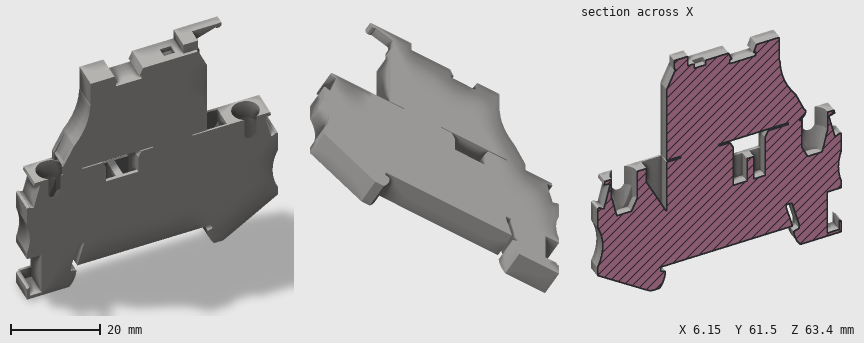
import cadquery as cq

thickness = 6.15
length = 61.5
height = 63.4

deck_z = 35.25
shoulder_z = 60.7
rail_z = 5.9
tower_back_y = 44.05
side_wall = 0.6

gap_height = 0.3
front_gap_y = (13.55, 30.85)
back_gap_start_y = 40.5

groove_z = 57.6
groove_front_y = 21.75
groove_back_y = 28.15
groove_lip_z = 58.6

toe_z = 3.9
toe_round = 0.7
toe_slot_y = 3.55
toe_slot_top_z = 12.5
toe_pocket_floor_z = 0.95
back_foot_sole = [(length, 9.1), (49.7, 1.1), (48.05, 0), (45.8, 0)]
back_foot_claw = [(44.3, 4.4), (45.45, 4.8), (45.45, rail_z)]
spring_slot = [
    (12.3, rail_z), (13.95, 11.9), (13.8, toe_slot_top_z),
    (12.55, toe_slot_top_z), (10.8, rail_z),
]
front_foot_claw = [(10.8, 4.8), (12.1, 4.4)]
front_foot_sole = (10.4, 0)
back_foot_bulge = (44.7, 2.0)
front_foot_bulge = (11.6, 2.0)

front_grip = [(0, 14.25), (0.75, 18.65), (0, 23.15)]
back_grip = [(length, 11.4), (length - 1.3, 17.2), (length, 22.9)]

tower_front_y = 15.6
tower_curve_mid = (14.5, 48.4)
tower_curve_top = (15.45, 53.7)
tower_front_bottom_z = 54.1

end_profile = [(0, 28.1), (0.65, 28.25), (0.75, 28.0), (1.65, 27.65), (3.2, 33.85), (1.7, 34.3), (1.9, deck_z)]

hook_width = 2.15
hook_block_width = 5.45
hook_front_y = 38.6
hook_block_back_y = 42.15
hook_tip_y = 49.4
tower_slope_top_y = 41.8
tower_slope_bottom_z = 55.8
hook_root_z = 53.9

window_z = 29.15
window_neck_z = 33.5
window_front_y = 19.3
window_back_y = 27.25
window_flare = 0.8
window_pocket_width = 4.8
window_pocket_depth = 6.35
window_rib_front_y = 22.1
window_rib_back_y = 23.8

deck_pocket_back_y = 49.1
deck_pocket_far_x = 5.7
deck_pocket_straight = 3.8
deck_pocket_depth = 13.95

funnel_inset = 6.8
funnel_top_x = 3.4
funnel_top_radius = 3.0
funnel_top_straight = 0.5
funnel_floor_x = 3.2
funnel_floor_radius = 1.8
funnel_floor_straight = 0.1
funnel_straight_depth = 5.1
funnel_depth = 10.8
funnel_ramp_offset = 1.8
funnel_ramp_run = 5.1

slope_foot = (8.8, 37.6)
slope_head = (11.55, 43.05)
recess_x = 1.1
recess_width = 4.4
lip_edge = (9.45, 38.1)
lip_nose = (8.95, 37.45)
lip_under = (9.5, 36.1)
lip_root = (10.8, deck_z)
notch_top_z = 37.25

socket_x = 2.1
socket_width = 2.35
socket_front_y = 34.3
socket_length = 2.7
socket_depth = 1.25


def box(x, y, z, dx, dy, dz):
    """Box from its lowest corner and its sizes."""
    return cq.Workplane("XY").box(dx, dy, dz, centered=False).translate((x, y, z))


def through(outline, points):
    """Continue an outline with straight lines through the points."""
    for y, z in points:
        outline = outline.lineTo(y, z)
    return outline


def prism(points, x=0.0, width=thickness):
    """Straight-sided YZ outline extruded along +X."""
    return cq.Workplane("YZ").polyline(points).close().extrude(width).translate((x, 0, 0))


def mirrored_end_to_end(body):
    """Mirror a body about the middle of the length."""
    return body.mirror("XZ", (0, length / 2, 0))


def make_housing():
    """Lower housing with rail feet, grips and snap-in ends."""
    outline = cq.Workplane("YZ").moveTo(0, 0).lineTo(0, toe_z - toe_round)
    outline = outline.radiusArc((toe_round, toe_z), -toe_round).lineTo(toe_slot_y, toe_z)
    outline = outline.lineTo(toe_slot_y, toe_slot_top_z).lineTo(0, toe_slot_top_z)
    outline = outline.lineTo(*front_grip[0]).threePointArc(*front_grip[1:])
    back_end = [(length - inset, z) for inset, z in reversed(end_profile)]
    outline = through(outline, end_profile + back_end)
    outline = outline.lineTo(*back_grip[2]).threePointArc(back_grip[1], back_grip[0])
    outline = through(outline, back_foot_sole)
    outline = outline.threePointArc(back_foot_bulge, back_foot_claw[0])
    outline = through(outline, back_foot_claw[1:] + spring_slot + front_foot_claw)
    outline = outline.threePointArc(front_foot_bulge, front_foot_sole)
    return outline.close().extrude(thickness)


def make_tower():
    """Upper tower with its label groove, up to the shoulder level."""
    outline = cq.Workplane("YZ").moveTo(slope_foot[0], deck_z).lineTo(*slope_foot)
    outline = outline.lineTo(*slope_head).threePointArc(tower_curve_mid, tower_curve_top)
    outline = through(outline, [
        (tower_front_y, tower_front_bottom_z), (tower_front_y, shoulder_z),
        (21.4, shoulder_z), (22.25, groove_lip_z), (groove_front_y, groove_lip_z),
        (groove_front_y, groove_z), (groove_back_y, groove_z), (groove_back_y, groove_lip_z),
        (27.6, groove_lip_z), (28.45, shoulder_z), (tower_slope_top_y, shoulder_z),
        (tower_back_y, tower_slope_bottom_z), (tower_back_y, deck_z),
    ])
    return outline.close().extrude(thickness)


def make_hook():
    """Hook along one side of the tower and the block that carries it."""
    block = box(0, hook_front_y, shoulder_z, hook_block_width,
                hook_block_back_y - hook_front_y, height - shoulder_z)
    arm = prism([
        (hook_front_y, height), (hook_tip_y, height), (hook_tip_y, 62.4), (48.9, 62.05),
        (48.25, 62.05), (47.9, 62.35), (43.5, shoulder_z), (43.5, 57.8),
        (tower_back_y, 56.9), (tower_back_y, hook_root_z), (hook_front_y, hook_root_z),
    ], width=hook_width)
    return block.union(arm)


def make_gap(front_y, back_y):
    """Thin parting gap between the tower and the deck."""
    return box(0, front_y, deck_z, thickness, back_y - front_y, gap_height)


def make_window():
    """Through window with flared top and two floor pockets."""
    window = prism([
        (window_front_y, window_z), (window_back_y, window_z), (window_back_y, window_neck_z),
        (window_back_y + window_flare, deck_z), (window_front_y - window_flare, deck_z),
        (window_front_y, window_neck_z),
    ])
    for front_y, back_y in [(window_front_y, window_rib_front_y), (window_rib_back_y, window_back_y)]:
        window = window.union(box(side_wall, front_y, window_z - window_pocket_depth,
                                  window_pocket_width, back_y - front_y, window_pocket_depth))
    return window


def make_deck_pocket():
    """Pocket behind the tower whose back wall slopes in lower down."""
    return prism([
        (tower_back_y, deck_z), (deck_pocket_back_y, deck_z),
        (deck_pocket_back_y, deck_z - deck_pocket_straight),
        (tower_back_y, deck_z - deck_pocket_depth),
    ], side_wall, deck_pocket_far_x - side_wall)


def stadium(plane_z, x, radius, straight):
    """Workplane holding a slot outline that is long in Y, at the back funnel."""
    return (cq.Workplane("XY", origin=(x, length - funnel_inset, plane_z))
            .slot2D(straight + 2 * radius, 2 * radius, 90))


def make_toe_pocket():
    """Pocket behind the rounded toe, open at the far side."""
    return box(side_wall, toe_round, toe_pocket_floor_z, thickness - side_wall,
               toe_slot_y - toe_round, toe_z - toe_pocket_floor_z)


def make_back_funnel():
    """Tapered funnel with a ramp on the side facing the tower."""
    floor_z = deck_z - funnel_depth
    throat_z = deck_z - funnel_straight_depth
    center_y = length - funnel_inset
    mouth_size = (funnel_top_x, funnel_top_radius, funnel_top_straight)
    floor_size = (funnel_floor_x, funnel_floor_radius, funnel_floor_straight)
    well = stadium(throat_z, *mouth_size).extrude(funnel_straight_depth)
    throat = stadium(throat_z, *mouth_size).wires().val()
    floor = stadium(floor_z, *floor_size).wires().val()
    taper = cq.Workplane(cq.Solid.makeLoft([throat, floor], True))
    ramp_limit = stadium(floor_z, *mouth_size).extrude(funnel_depth)
    ramp_foot_y = center_y - funnel_ramp_offset
    ramp = prism([
        (center_y, floor_z), (ramp_foot_y, floor_z),
        (ramp_foot_y - funnel_ramp_run, deck_z), (center_y, deck_z),
    ], funnel_floor_x - funnel_floor_radius, 2 * funnel_floor_radius)
    return well.union(taper).union(ramp.intersect(ramp_limit))


def make_front_recess():
    """Recess with a rounded lip, and the funnel's notch beside it, in the front slope."""
    recess = (cq.Workplane("YZ").moveTo(*slope_head).lineTo(*lip_edge).lineTo(*lip_nose)
              .threePointArc(lip_under, lip_root).lineTo(slope_foot[0], deck_z)
              .lineTo(*slope_foot).close().extrude(recess_width).translate((recess_x, 0, 0)))
    notch_height = notch_top_z - deck_z
    notch = stadium(deck_z, funnel_top_x, funnel_top_radius, funnel_top_straight).extrude(notch_height)
    lip_space = box(recess_x, 0, deck_z, recess_width, length, notch_height)
    return recess.union(mirrored_end_to_end(notch).cut(lip_space))


back_funnel = make_back_funnel()
housing = make_housing().cut(back_funnel).cut(mirrored_end_to_end(back_funnel))
housing = housing.cut(make_deck_pocket()).cut(make_toe_pocket())
tower = make_tower().union(make_hook()).cut(make_front_recess())
socket = box(socket_x, socket_front_y, shoulder_z - socket_depth,
             socket_width, socket_length, socket_depth)

result = housing.union(tower.cut(socket)).cut(make_window())
result = result.cut(make_gap(*front_gap_y)).cut(make_gap(back_gap_start_y, tower_back_y))